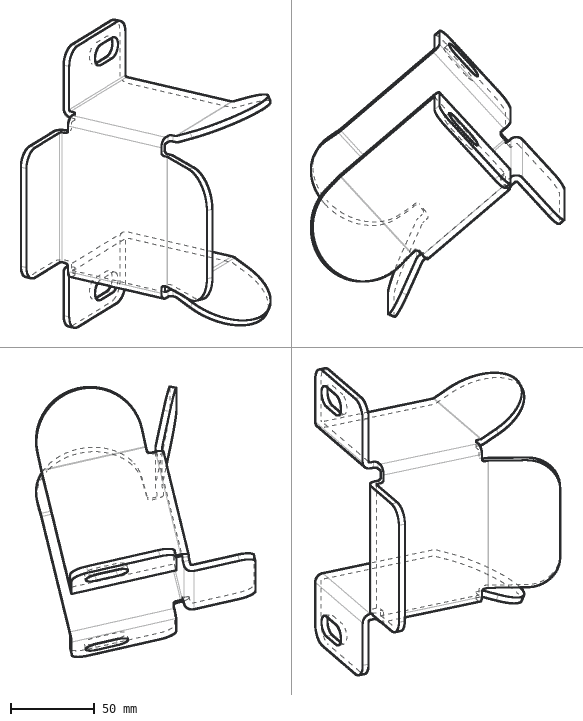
import cadquery as cq
import math

height = 181.7
depth = 112.8
length = 119.5

sheet = 4.0
bend_inner = 1.0
bend_outer = bend_inner + sheet

tab_height = 42.9
tab_corner = 10.0
side_width = 64.1
front_width = 84.0
wing_start = 79.7
wing_angle = 25.0
wing_length = (length - wing_start) / math.cos(math.radians(wing_angle))
side_wing_corner = side_width / 2
front_wing_corner = 20.0
side_inner = height / 2 - tab_height
front_inner = depth - tab_height

neck_start = 9.0
neck_end = 74.7
neck_fillet = 2.0

slot_length = 26.0
slot_width = 13.0
slot_from_back = 21.6
slot_from_edge = 15.0


def flared_wing(width, corner):
    """Rounded tongue tilted outward about the panel's inner edge."""
    half = width / 2
    straight = wing_length - corner
    diagonal = corner * math.sqrt(0.5)
    outline = (
        cq.Workplane("XY")
        .moveTo(0, -half)
        .lineTo(straight, -half)
        .threePointArc((straight + diagonal, -half + corner - diagonal), (wing_length, -half + corner))
    )
    if corner < half:
        outline = outline.lineTo(wing_length, half - corner)
    wing = (
        outline
        .threePointArc((straight + diagonal, half - corner + diagonal), (straight, half))
        .lineTo(0, half)
        .close()
        .extrude(sheet)
    )
    return wing.rotate((0, 0, 0), (0, 1, 0), -wing_angle).translate((wing_start, 0, 0))


def bent_panel(width, wing_corner):
    """Panel with its inner face on z = 0, centred on y = 0, its tab rising along +Z."""
    plate = cq.Workplane("XY").box(wing_start, width, sheet, centered=(False, True, False))
    tab = (
        cq.Workplane("XY")
        .box(sheet, width, tab_height, centered=(False, True, False))
        .faces(">Z").edges("|X").fillet(tab_corner)
    )
    angle = plate.union(tab)
    angle = angle.edges("|Y and <X and <Z").fillet(bend_outer)
    angle = angle.edges(cq.NearestToPointSelector((sheet, 0, sheet))).fillet(bend_inner)
    panel = angle.union(flared_wing(width, wing_corner))
    crease_shift = sheet * math.tan(math.radians(wing_angle / 2))
    inside_crease = cq.NearestToPointSelector((wing_start - crease_shift, 0, sheet))
    outside_crease = cq.NearestToPointSelector((wing_start, 0, 0))
    return panel.edges(inside_crease).fillet(bend_inner).edges(outside_crease).fillet(bend_outer)


def side_panel():
    panel = bent_panel(side_width, side_wing_corner).translate((0, -side_width / 2, side_inner))
    slot = (
        cq.Workplane("YZ")
        .center(-slot_from_back, height / 2 - slot_from_edge)
        .slot2D(slot_length, slot_width)
        .extrude(sheet)
    )
    return panel.cut(slot)


def front_panel():
    panel = bent_panel(front_width, front_wing_corner)
    return panel.rotate((0, 0, 0), (1, 0, 0), 90).translate((0, -front_inner, 0))


def upper_neck():
    """Rounded right-angle bend from the upper panel down to the front panel."""
    outer_y = -front_inner - sheet
    outer_z = side_inner + sheet
    neck = (
        cq.Workplane("YZ", origin=(neck_start, 0, 0))
        .moveTo(-side_width, outer_z)
        .lineTo(outer_y + bend_outer, outer_z)
        .radiusArc((outer_y, outer_z - bend_outer), -bend_outer)
        .lineTo(outer_y, front_width / 2)
        .lineTo(-front_inner, front_width / 2)
        .lineTo(-front_inner, side_inner - bend_inner)
        .radiusArc((-front_inner + bend_inner, side_inner), bend_inner)
        .lineTo(-side_width, side_inner)
        .close()
        .extrude(neck_end - neck_start)
    )
    return neck


def round_neck_corners(body):
    """Fillet the notch corners where each neck meets its panels."""
    side_mid = side_inner + sheet / 2
    front_mid = -front_inner - sheet / 2
    for x in (neck_start, neck_end):
        for side in (1, -1):
            for point in ((x, -side_width, side * side_mid), (x, front_mid, side * front_width / 2)):
                body = body.edges(cq.NearestToPointSelector(point)).fillet(neck_fillet)
    return body


upper_half = side_panel().union(upper_neck())
lower_half = upper_half.mirror("XY")
result = round_neck_corners(front_panel().union(upper_half).union(lower_half))